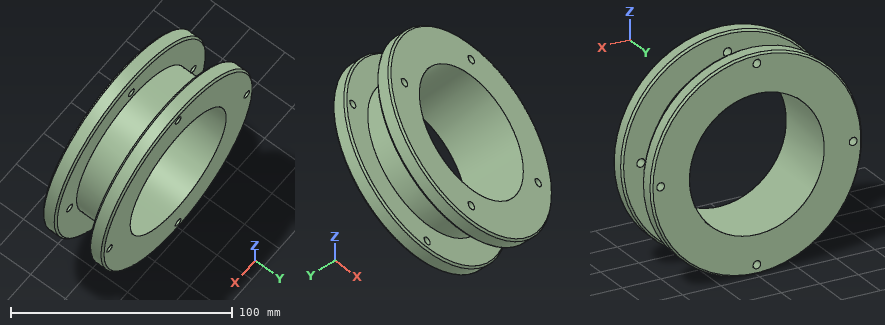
import cadquery as cq

flange_diameter = 110.0
drum_diameter = 80.0
bore_diameter = 70.0
spool_width = 35.0
flange_thickness = 8.0
rim_chamfer = 1.0

front_hole_circle_diameter = 90.0
rear_hole_circle_diameter = 100.0
hole_count = 4
front_hole_diameter = 4.2
rear_hole_diameter = 4.0

front_face_y = -spool_width / 2
rear_flange_y = spool_width / 2 - flange_thickness


def cylinder_along_y(diameter, start_y, length):
    """Solid cylinder running from start_y toward +Y."""
    plane = cq.Plane(origin=(0, start_y, 0), xDir=(1, 0, 0), normal=(0, 1, 0))
    return cq.Workplane(plane).circle(diameter / 2).extrude(length)


def flange(start_y):
    """Disc with both rim edges chamfered."""
    disc = cylinder_along_y(flange_diameter, start_y, flange_thickness)
    return disc.edges().chamfer(rim_chamfer)


def hole_ring(diameter, circle_diameter, start_y):
    """Cutting pins for one flange, equally spaced on the hole circle."""
    plane = cq.Plane(origin=(0, start_y, 0), xDir=(1, 0, 0), normal=(0, 1, 0))
    return (
        cq.Workplane(plane)
        .polarArray(circle_diameter / 2, 0, 360, hole_count)
        .circle(diameter / 2)
        .extrude(flange_thickness)
    )


drum = cylinder_along_y(drum_diameter, front_face_y, spool_width)
bore = cylinder_along_y(bore_diameter, front_face_y, spool_width)

result = (
    drum.union(flange(front_face_y))
    .union(flange(rear_flange_y))
    .cut(bore)
    .cut(hole_ring(front_hole_diameter, front_hole_circle_diameter, front_face_y))
    .cut(hole_ring(rear_hole_diameter, rear_hole_circle_diameter, rear_flange_y))
)